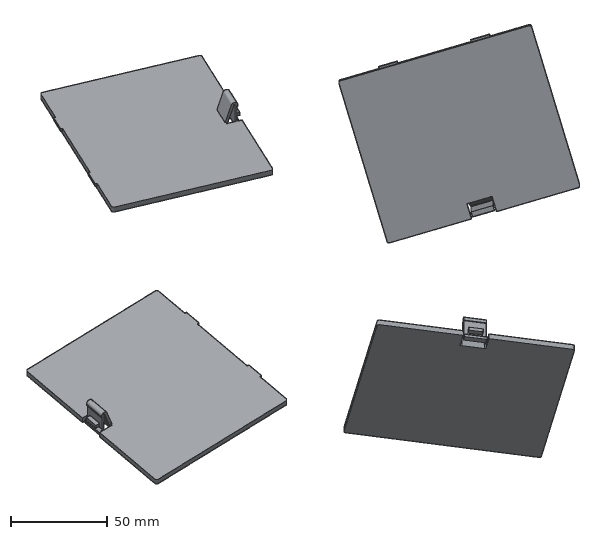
import cadquery as cq
import math

overall_height = 15.0
overall_depth = 90.7

plate_width = 104.5
tongue_reach = 1.0
plate_depth = overall_depth - tongue_reach
plate_thickness = 3.2
corner_radius = 1.3

tongue_width = 10.2
tongue_thickness = 1.7
tongue_spacing = 50.0

notch_width = 13.6
notch_depth = 8.4

clip_width = 11.9
bend_radius = 1.62
bend_z = overall_height - bend_radius
back_bend_y = -3.7
top_flat_width = 0.4
front_bend_y = back_bend_y - top_flat_width
sloped_leg_thickness = 1.6
sloped_leg_angle = math.radians(18)
upright_thickness = 1.1
bend_lip_z = 12.1
slot_radius = bend_radius - sloped_leg_thickness
upright_front_y = back_bend_y
upright_back_y = upright_front_y + upright_thickness

foot_back_y = -0.8
foot_height = 1.6

latch_width = 7.7
latch_thickness = 2.0
latch_gap = 0.8


def front_point(radius, angle):
    """Point (Y, Z) around the front arc's center; the angle is measured up from -Y."""
    return (front_bend_y - radius * math.cos(angle), bend_z + radius * math.sin(angle))


def leg_base(radius):
    """Point at Z = 0 on the sloped line tangent to a circle around the front arc's center."""
    y, z = front_point(radius, sloped_leg_angle)
    return (y - z * math.tan(sloped_leg_angle), 0)


def make_plate():
    plate = (
        cq.Workplane("XY")
        .box(plate_width, plate_depth, plate_thickness, centered=(True, False, False))
        .translate((0, -plate_depth, 0))
        .edges("|Z")
        .fillet(corner_radius)
    )
    notch = cq.Workplane("XY").box(
        notch_width, 2 * notch_depth, 2 * plate_thickness
    )
    return plate.cut(notch)


def make_tongue(center_x):
    return (
        cq.Workplane("XY")
        .box(tongue_width, 2 * tongue_reach, tongue_thickness, centered=(True, True, False))
        .translate((center_x, -plate_depth, plate_thickness - tongue_thickness))
    )


def make_clip():
    front_mid_angle = (sloped_leg_angle + math.pi / 2) / 2
    diagonal = bend_radius * math.sqrt(0.5)
    return (
        cq.Workplane("YZ")
        .moveTo(*leg_base(bend_radius))
        .lineTo(*front_point(bend_radius, sloped_leg_angle))
        .threePointArc(front_point(bend_radius, front_mid_angle), (front_bend_y, overall_height))
        .lineTo(back_bend_y, overall_height)
        .threePointArc(
            (back_bend_y + diagonal, bend_z + diagonal), (back_bend_y + bend_radius, bend_z)
        )
        .lineTo(back_bend_y + bend_radius, bend_lip_z)
        .lineTo(upright_back_y, bend_lip_z)
        .lineTo(upright_back_y, plate_thickness)
        .lineTo(foot_back_y, foot_height)
        .lineTo(foot_back_y, 0)
        .lineTo(upright_front_y, 0)
        .lineTo(upright_front_y, front_point(slot_radius, sloped_leg_angle)[1])
        .lineTo(*front_point(slot_radius, sloped_leg_angle))
        .lineTo(*leg_base(slot_radius))
        .close()
        .extrude(clip_width / 2, both=True)
    )


def make_latch():
    latch_reach = -upright_front_y
    return (
        cq.Workplane("XY")
        .box(latch_width, latch_reach, latch_thickness, centered=(True, False, False))
        .translate((0, upright_front_y, plate_thickness + latch_gap))
    )


result = make_plate().union(make_clip()).union(make_latch())
for side in (-1, 1):
    result = result.union(make_tongue(side * tongue_spacing / 2))